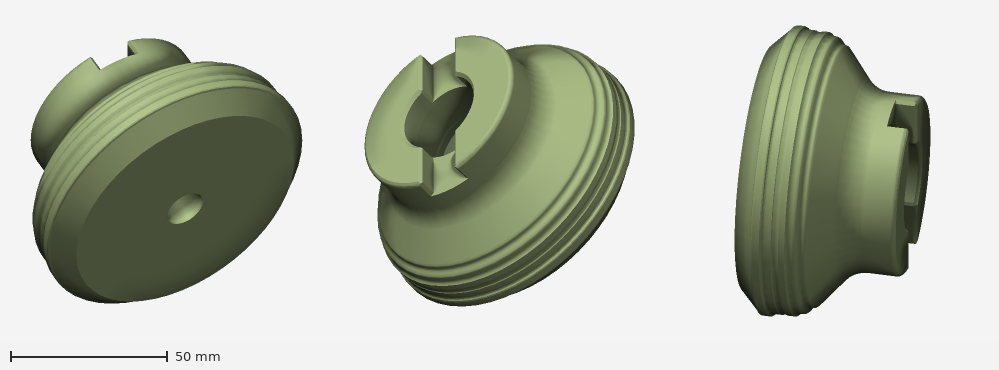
import cadquery as cq
import math

length = 50.0
rim_radius = 93.25 / 2

neck_radius = 29.1
edge_length = 1.6
edge_blend_radius = 1.45
edge_blend_angle = 55.0

flare_start = 11.1
flare_radius = 10.0
flare_angle = 50.0
cone_end = 26.3

first_crest_x = 27.4
first_crest_radius = 42.3
shoulder_angle = 58.0
first_hollow_x = 29.1
first_hollow_radius = 43.75
second_crest_start = 30.4
second_crest_end = 31.0
second_crest_radius = 44.6

band_radius = 45.7
band_start = 32.7
groove_start = 34.7
groove_bottom_x = 35.8
groove_end = 37.1
groove_depth = 0.4

rim_foot = 39.7
rim_start = 40.1
rim_end = 43.8
rim_edge_length = 0.7
rim_edge_height = 0.7
rim_edge_step_length = 0.3
rim_edge_step_drop = 0.2
rear_cone_angle = 45.0
back_chamfer = 0.3
back_radius = 39.7

bore_radius = 13.5
bore_depth = 22.0
bore_chamfer = 1.1
relief_radius = 13.6
relief_start = 8.3
relief_end = 18.9
relief_taper = 0.7
screw_hole_radius = 6.5
screw_hole_chamfer = 1.0

slot_width = 12.6
slot_depth = 7.0
slot_chamfer = 1.0
slot_outer_bevel = 1.0
slot_inner_bevel_width = 0.6
slot_inner_bevel_height = 0.95


def direction(angle):
    """Unit vector at an angle in degrees from the X axis."""
    a = math.radians(angle)
    return (math.cos(a), math.sin(a))


def circle_arc(center, radius, start_angle, end_angle):
    """Start, middle and end of an arc, with angles in degrees."""
    points = []
    for angle in (start_angle, (start_angle + end_angle) / 2, end_angle):
        along, across = direction(angle)
        points.append((center[0] + radius * along, center[1] + radius * across))
    return points


def make_body():
    """Solid of revolution, drawn as (X, radius)."""
    edge_arc = circle_arc(
        (edge_length, neck_radius - edge_blend_radius), edge_blend_radius, 90 + edge_blend_angle, 90
    )
    edge_start = edge_arc[0]
    face_radius = edge_start[1] - edge_start[0] * math.tan(math.radians(edge_blend_angle))
    flare_arc = circle_arc(
        (flare_start, neck_radius + flare_radius), flare_radius, -90, -90 + flare_angle
    )
    flare_end = flare_arc[2]
    cone_end_radius = flare_end[1] + (cone_end - flare_end[0]) * math.tan(math.radians(flare_angle))
    axial = direction(0)
    cone_direction = direction(flare_angle)
    shoulder_direction = direction(shoulder_angle)
    cone_back_x = length - back_chamfer
    cone_back_radius = back_radius + back_chamfer
    rim_end_radius = cone_back_radius + (cone_back_x - rim_end) * math.tan(math.radians(rear_cone_angle))

    profile = (
        cq.Workplane("XY")
        .moveTo(0, 0)
        .lineTo(0, face_radius)
        .lineTo(*edge_start)
        .threePointArc(*edge_arc[1:])
        .lineTo(flare_start, neck_radius)
        .threePointArc(*flare_arc[1:])
        .lineTo(cone_end, cone_end_radius)
        .spline(
            [(first_crest_x, first_crest_radius)],
            tangents=[cone_direction, axial],
            includeCurrent=True,
        )
        .spline(
            [(first_hollow_x, first_hollow_radius)],
            tangents=[axial, shoulder_direction],
            includeCurrent=True,
        )
        .spline(
            [(second_crest_start, second_crest_radius)],
            tangents=[shoulder_direction, axial],
            includeCurrent=True,
        )
        .lineTo(second_crest_end, second_crest_radius)
        .spline(
            [(band_start, band_radius)],
            tangents=[axial, shoulder_direction],
            includeCurrent=True,
        )
        .lineTo(groove_start, band_radius)
        .lineTo(groove_bottom_x, band_radius - groove_depth)
        .spline(
            [(groove_end, band_radius)],
            tangents=[axial, shoulder_direction],
            includeCurrent=True,
        )
        .lineTo(rim_foot, band_radius)
        .lineTo(rim_start, rim_radius - rim_edge_height)
        .lineTo(rim_start + rim_edge_step_length, rim_radius - rim_edge_step_drop)
        .lineTo(rim_start + rim_edge_length, rim_radius)
        .lineTo(rim_end - rim_edge_length, rim_radius)
        .lineTo(rim_end - rim_edge_step_length, rim_radius - rim_edge_step_drop)
        .lineTo(rim_end, rim_end_radius)
        .lineTo(cone_back_x, cone_back_radius)
        .lineTo(length, back_radius)
        .lineTo(length, 0)
        .close()
    )
    return profile.revolve(360, (0, 0, 0), (1, 0, 0))


def make_bore():
    """Chamfered arbor bore with a relief band, ending in a smaller through hole."""
    profile = (
        cq.Workplane("XY")
        .moveTo(0, 0)
        .lineTo(0, bore_radius + bore_chamfer)
        .lineTo(bore_chamfer, bore_radius)
        .lineTo(relief_start, bore_radius)
        .lineTo(relief_start, relief_radius)
        .lineTo(relief_end, relief_radius)
        .lineTo(relief_end + relief_taper, bore_radius)
        .lineTo(bore_depth, bore_radius)
        .lineTo(bore_depth, screw_hole_radius + screw_hole_chamfer)
        .lineTo(bore_depth + screw_hole_chamfer, screw_hole_radius)
        .lineTo(length, screw_hole_radius)
        .lineTo(length, 0)
        .close()
    )
    return profile.revolve(360, (0, 0, 0), (1, 0, 0))


def make_slot():
    """Drive slot with chamfered mouth edges and bevelled corners at the bore and the neck."""
    half = slot_width / 2
    mouth = (
        cq.Workplane("XY")
        .moveTo(0, -half - slot_chamfer)
        .lineTo(slot_chamfer, -half)
        .lineTo(slot_chamfer, half)
        .lineTo(0, half + slot_chamfer)
        .close()
        .extrude(neck_radius, both=True)
    )

    inner_width = half + slot_inner_bevel_width
    inner_z = math.sqrt(bore_radius**2 - inner_width**2)
    outer_width = half + slot_outer_bevel
    outer_z = math.sqrt(neck_radius**2 - outer_width**2)
    flare = neck_radius - outer_z
    quarter = [
        (inner_width, inner_z),
        (half, inner_z + slot_inner_bevel_height),
        (half, outer_z - slot_outer_bevel),
        (outer_width + flare, neck_radius),
    ]
    upper_left = [(-y, z) for y, z in reversed(quarter)]
    lower_left = [(-y, -z) for y, z in quarter]
    lower_right = [(y, -z) for y, z in reversed(quarter)]
    channel = (
        cq.Workplane("YZ")
        .polyline(quarter + upper_left + lower_left + lower_right)
        .close()
        .extrude(slot_depth)
    )
    return channel.union(mouth)


result = make_body().cut(make_bore()).cut(make_slot())